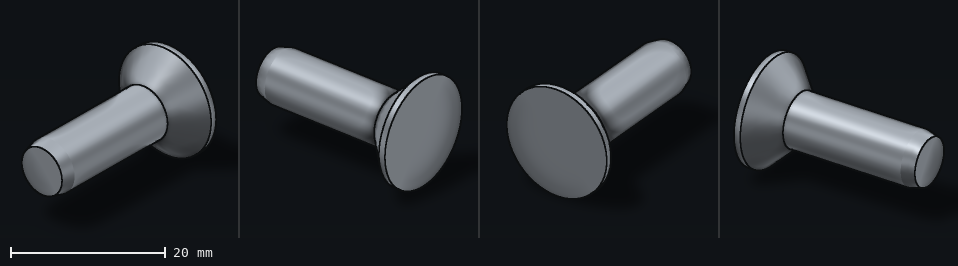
import cadquery as cq
import math

total_length = 25.0
head_diameter = 16.0
shank_diameter = head_diameter / 2
rim_thickness = 1.0
tip_diameter = 7.0
tip_half_angle = 15.0

head_radius = head_diameter / 2
shank_radius = shank_diameter / 2
tip_radius = tip_diameter / 2

head_height = rim_thickness + head_radius - shank_radius
tip_length = (shank_radius - tip_radius) / math.tan(math.radians(tip_half_angle))

half_section = (
    cq.Workplane("XY")
    .moveTo(0, 0)
    .lineTo(head_radius, 0)
    .lineTo(head_radius, -rim_thickness)
    .lineTo(shank_radius, -head_height)
    .lineTo(shank_radius, -total_length + tip_length)
    .lineTo(tip_radius, -total_length)
    .lineTo(0, -total_length)
    .close()
)

result = half_section.revolve(360, (0, 0, 0), (0, 1, 0))